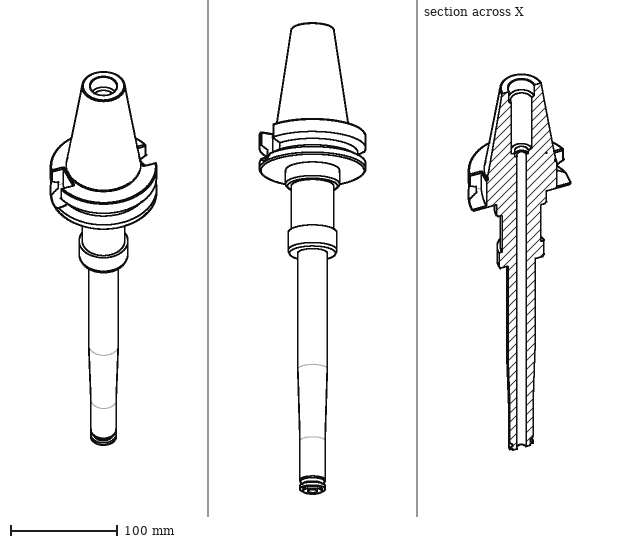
import cadquery as cq
import math


gauge_diameter = 69.85
taper_length = 101.8
taper_ratio = 7 / 24
taper_end_chamfer = 0.9

flange_diameter = 100.0
flange_top_z = -3.0
flange_bottom_z = -38.0
upper_rim_bottom_z = -16.0
upper_rim_chamfer = 1.0
lower_rim_top_z = -31.0
groove_diameter = 85.0
groove_wall_angle = math.radians(30)
flange_chamfer = 1.5

relief_diameter = 68.0
relief_top_z = -1.2

slot_width = 24.7
slot_floor_distance = 35.8
slot_bottom_z = -35.2
slot_top_chamfer = 1.2
slot_rim_chamfer = 1.1

collar_diameter = 51.0
collar_bottom_z = -53.5
collar_chamfer = 2.0
neck_diameter = 40.0
ring_top_z = -99.5
ring_diameter = 46.0
ring_bottom_z = -120.0
ring_chamfer_height = 3.0
ring_bottom_diameter = 43.5

shank_diameter = 28.0
shank_bottom_z = -234.5
nose_diameter = 24.0
shank_taper_bottom_z = -305.5

overall_length = 457.3
nose_bottom_z = taper_length - overall_length
tip_length = 2.0
tip_diameter = 18.0
lip_height = 3.0
nose_groove_height = 4.5
nose_groove_diameter = 18.0
nose_chamfer_height = 1.5
nose_chamfer_depth = 0.5
nose_shoulder_height = 2.5

clearance_bore_diameter = 25.0
clearance_bore_depth = 13.5
bore_chamfer = 0.5
thread_bore_diameter = 20.75
thread_bore_depth = 80.0
step_bore_diameter = 13.0
step_bore_depth = 85.0
coolant_bore_diameter = 9.0


def make_body():
    """Revolve the outer profile, listed as (radius, z) from the spindle end down."""
    gauge_radius = gauge_diameter / 2
    taper_end_radius = (gauge_diameter - taper_length * taper_ratio) / 2
    rim_radius = flange_diameter / 2
    groove_radius = groove_diameter / 2
    groove_wall_drop = (rim_radius - groove_radius) * math.tan(groove_wall_angle)
    tip_top_z = nose_bottom_z + tip_length
    lip_top_z = tip_top_z + lip_height
    nose_end_z = lip_top_z + nose_groove_height
    profile = [
        (0, taper_length),
        (taper_end_radius - taper_end_chamfer, taper_length),
        (taper_end_radius + taper_end_chamfer * taper_ratio / 2, taper_length - taper_end_chamfer),
        (gauge_radius - relief_top_z * taper_ratio / 2, relief_top_z),
        (relief_diameter / 2, relief_top_z),
        (relief_diameter / 2, flange_top_z),
        (rim_radius - upper_rim_chamfer, flange_top_z),
        (rim_radius, flange_top_z - upper_rim_chamfer),
        (rim_radius, upper_rim_bottom_z),
        (groove_radius, upper_rim_bottom_z - groove_wall_drop),
        (groove_radius, lower_rim_top_z + groove_wall_drop),
        (rim_radius, lower_rim_top_z),
        (rim_radius, flange_bottom_z + flange_chamfer),
        (rim_radius - flange_chamfer, flange_bottom_z),
        (collar_diameter / 2, flange_bottom_z),
        (collar_diameter / 2, collar_bottom_z + collar_chamfer),
        (collar_diameter / 2 - collar_chamfer, collar_bottom_z),
        (neck_diameter / 2, collar_bottom_z),
        (neck_diameter / 2, ring_top_z),
        (ring_diameter / 2, ring_top_z),
        (ring_diameter / 2, ring_bottom_z + ring_chamfer_height),
        (ring_bottom_diameter / 2, ring_bottom_z),
        (shank_diameter / 2, ring_bottom_z),
        (shank_diameter / 2, shank_bottom_z),
        (nose_diameter / 2, shank_taper_bottom_z),
        (nose_diameter / 2, nose_end_z + nose_chamfer_height),
        (nose_diameter / 2 - nose_chamfer_depth, nose_end_z),
        (nose_groove_diameter / 2, nose_end_z - nose_shoulder_height),
        (nose_groove_diameter / 2, lip_top_z),
        (nose_diameter / 2, lip_top_z),
        (nose_diameter / 2, tip_top_z),
        (tip_diameter / 2, tip_top_z),
        (tip_diameter / 2, nose_bottom_z),
        (0, nose_bottom_z),
    ]
    return cq.Workplane("XZ").polyline(profile).close().revolve(360, (0, 0), (0, 1))


def make_bore():
    """Central bore: clearance, 45 degree step to the thread, then a step to the coolant hole."""
    clearance_radius = clearance_bore_diameter / 2
    thread_radius = thread_bore_diameter / 2
    clearance_floor_z = taper_length - clearance_bore_depth
    thread_floor_z = taper_length - thread_bore_depth
    step_floor_z = taper_length - step_bore_depth
    profile = [
        (0, taper_length),
        (clearance_radius + bore_chamfer, taper_length),
        (clearance_radius, taper_length - bore_chamfer),
        (clearance_radius, clearance_floor_z),
        (thread_radius, clearance_floor_z - (clearance_radius - thread_radius)),
        (thread_radius, thread_floor_z),
        (step_bore_diameter / 2, thread_floor_z),
        (step_bore_diameter / 2, step_floor_z),
        (coolant_bore_diameter / 2, step_floor_z),
        (coolant_bore_diameter / 2, nose_bottom_z),
        (0, nose_bottom_z),
    ]
    return cq.Workplane("XZ").polyline(profile).close().revolve(360, (0, 0), (0, 1))


def make_drive_slot(direction):
    """Round-ended key slot, open at the flange top, on the +Y (1) or -Y (-1) side."""
    half_width = slot_width / 2
    round_center_z = slot_bottom_z + half_width
    outline = (
        cq.Workplane("XZ", origin=(0, direction * slot_floor_distance, 0))
        .moveTo(-half_width, 0)
        .lineTo(-half_width, round_center_z)
        .threePointArc((0, slot_bottom_z), (half_width, round_center_z))
        .lineTo(half_width, 0)
        .close()
    )
    return outline.extrude(-direction * flange_diameter / 2)


def make_slot_top_chamfer(direction):
    """45 degree flare of the slot walls and floor where they meet the flange top face."""
    slot_depth = flange_diameter / 2 - slot_floor_distance
    slot_middle = slot_floor_distance + slot_depth / 2
    base = cq.Workplane("XY", origin=(0, direction * slot_middle, flange_top_z - slot_top_chamfer))
    return base.rect(slot_width, slot_depth).extrude(slot_top_chamfer, taper=-45)


def make_slot_rim_chamfer(direction):
    """45 degree flare of the slot walls where they meet the outer surface of the upper rim."""
    rim_radius = flange_diameter / 2
    half_width = slot_width / 2
    wide_half_width = half_width + slot_rim_chamfer
    edge_y = math.sqrt(rim_radius**2 - wide_half_width**2)
    overrun = rim_radius - edge_y
    outline = [
        (-half_width, direction * (edge_y - slot_rim_chamfer)),
        (half_width, direction * (edge_y - slot_rim_chamfer)),
        (wide_half_width + overrun, direction * rim_radius),
        (-wide_half_width - overrun, direction * rim_radius),
    ]
    base = cq.Workplane("XY", origin=(0, 0, upper_rim_bottom_z))
    return base.polyline(outline).close().extrude(flange_top_z - upper_rim_bottom_z)


result = make_body().cut(make_bore())
for side in (1, -1):
    result = result.cut(make_drive_slot(side))
    result = result.cut(make_slot_top_chamfer(side))
    result = result.cut(make_slot_rim_chamfer(side))